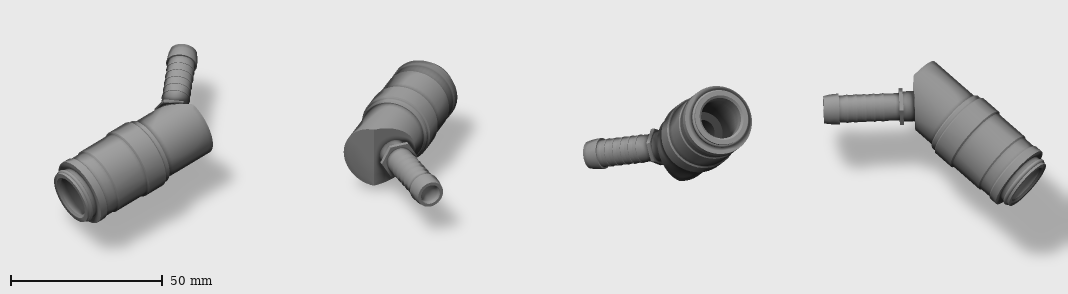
import cadquery as cq
import math

nose_radius = 9.05
bead_radius = 9.6
bead_center = 1.55
bead_half_width = 0.7
body_radius = 11.45
neck_radius = 11.0
collar_radius = 12.0
upper_radius = 10.6
chamfer = 0.5
flange_bottom = 3.7
flange_top = 6.8
barrel_bottom = 10.9
collar_bottom = 22.9
collar_top = 30.85
shoulder_top = 32.75
body_top = 50.95

mouth_radius = 7.5
socket_radius = 6.8
socket_depth = collar_bottom
mouth_chamfer = mouth_radius - socket_radius
passage_radius = 4.1
passage_depth = 46.65

tail_angle = 45
tail_axis_height = 40.9
tail_length = 29.9
tail_bore_radius = 3.45
spigot_radius = 5.0
tube_radius = 4.5
hex_start = 3.7
hex_thickness = 1.25
hex_corners = 12.8

barb_count = 5
barb_radius = 4.7
first_barb = 10.05
barb_taper = 1.5
barb_pitch = 2 * barb_taper
head_start = first_barb + barb_count * barb_pitch
head_radius = 5.1
head_middle_radius = 5.0
tip_radius = 4.5

slope = math.tan(math.radians(tail_angle))
face_distance = (body_top - tail_axis_height) * math.cos(math.radians(tail_angle))
hex_end = hex_start + hex_thickness


def make_body():
    """Turned body with its upper corner cut away square to the hose tail."""
    outline = (
        cq.Workplane("XY")
        .lineTo(nose_radius, 0)
        .lineTo(nose_radius, bead_center - bead_half_width)
        .threePointArc((bead_radius, bead_center), (nose_radius, bead_center + bead_half_width))
        .lineTo(nose_radius, flange_bottom)
        .lineTo(body_radius, flange_bottom)
        .lineTo(body_radius, flange_top - chamfer)
        .lineTo(neck_radius, flange_top)
        .lineTo(neck_radius, barrel_bottom)
        .lineTo(body_radius, barrel_bottom + chamfer)
        .lineTo(body_radius, collar_bottom)
        .lineTo(collar_radius, collar_bottom + chamfer)
        .lineTo(collar_radius, collar_top - chamfer)
        .lineTo(body_radius, collar_top)
        .lineTo(body_radius, shoulder_top - chamfer)
        .lineTo(body_radius - chamfer, shoulder_top)
        .lineTo(upper_radius, shoulder_top)
        .lineTo(upper_radius, body_top)
        .lineTo(0, body_top)
        .close()
    )
    body = outline.revolve(360, (0, 0), (0, 1))
    corner_reach = 2 * upper_radius
    corner = (
        cq.Workplane("XY")
        .moveTo(0, body_top)
        .lineTo(-corner_reach, body_top - corner_reach * slope)
        .lineTo(-corner_reach, body_top)
        .close()
        .extrude(corner_reach, both=True)
    )
    return body.cut(corner)


def place_tail(shape):
    """Tilt a shape built along +Y from the origin onto the tail axis."""
    tilted = shape.rotate((0, 0, 0), (0, 0, 1), tail_angle)
    return tilted.translate((0, tail_axis_height, 0))


def make_tail():
    """Barbed tube with a spigot and hexagon, starting inside the body."""
    outline = (
        cq.Workplane("XY")
        .lineTo(spigot_radius, 0)
        .lineTo(spigot_radius, face_distance + hex_start)
        .lineTo(tube_radius, face_distance + hex_start)
    )
    for index in range(barb_count):
        barb = face_distance + first_barb + index * barb_pitch
        outline = (
            outline.lineTo(tube_radius, barb)
            .lineTo(barb_radius, barb)
            .lineTo(tube_radius, barb + barb_taper)
        )
    head = face_distance + head_start
    tip = face_distance + tail_length
    outline = (
        outline.lineTo(tube_radius, head)
        .lineTo(head_radius, head)
        .threePointArc((head_middle_radius, (head + tip) / 2), (tip_radius, tip))
        .lineTo(0, tip)
        .close()
    )
    tube = outline.revolve(360, (0, 0), (0, 1))
    hexagon = (
        cq.Workplane("XZ", origin=(0, face_distance + hex_end, 0))
        .polygon(6, hex_corners)
        .extrude(hex_thickness)
    )
    return place_tail(tube.union(hexagon))


def make_body_bore():
    """Chamfered socket followed by a narrower blind passage."""
    return (
        cq.Workplane("XY")
        .lineTo(mouth_radius, 0)
        .lineTo(socket_radius, mouth_chamfer)
        .lineTo(socket_radius, socket_depth)
        .lineTo(passage_radius, socket_depth)
        .lineTo(passage_radius, passage_depth)
        .lineTo(0, passage_depth)
        .close()
        .revolve(360, (0, 0), (0, 1))
    )


def make_tail_bore():
    """Bore through the tail, opening into the end of the body passage."""
    bore = (
        cq.Workplane("XZ")
        .circle(tail_bore_radius)
        .extrude(-(face_distance + tail_length))
    )
    return place_tail(bore)


result = make_body().union(make_tail()).cut(make_body_bore()).cut(make_tail_bore())